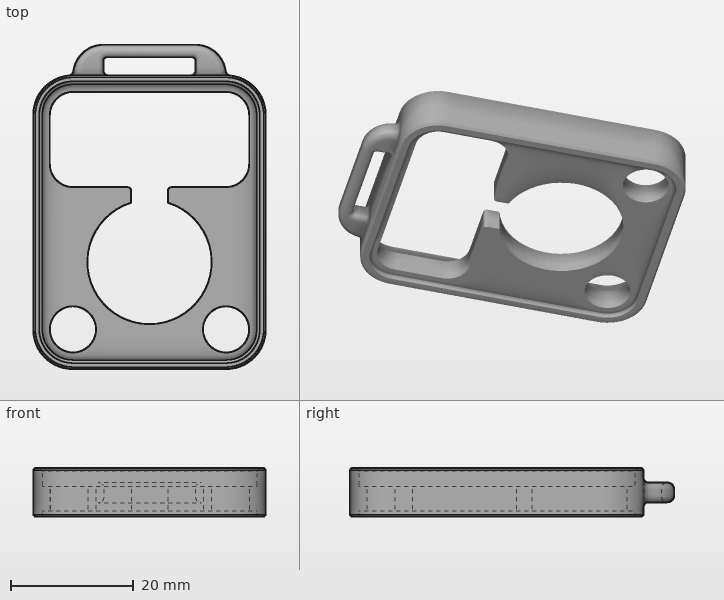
import cadquery as cq

BODY_WIDTH = 38.0
BODY_LENGTH = 48.0
BODY_HEIGHT = 8.0
CORNER_RADIUS = 6.5
OUTER_CHAMFER = 0.35

WALL = 1.5
POCKET_DEPTH = 3.0
RIM_CHAMFER = 0.5
CHAMFER_ANGLE = 45.0

RECESS_DEPTH = 1.0

OPENING_MARGIN = 2.75
WINDOW_LENGTH = 15.5
WINDOW_RADIUS = CORNER_RADIUS - OPENING_MARGIN
DIAL_DIAMETER = 20.25
DIAL_CENTER_TO_FRONT = 17.5
SLOT_WIDTH = 6.0
SLOT_CORNER_RADIUS = 0.6
BUTTON_DIAMETER = 7.5

LOOP_WIDTH = 25.0
LOOP_REACH = 5.0
LOOP_HEIGHT = 3.3
LOOP_OUTER_RADIUS = 5.0
LOOP_BAR = 2.1
LOOP_LEG_WIDTH = 5.0
LOOP_INNER_RADIUS = 0.5
LOOP_OUTER_ROUND = 1.2
LOOP_INNER_ROUND = 0.85
LOOP_ROOT_FILLET = 0.7
LOOP_EMBED = WALL / 2

BACK_Y = BODY_LENGTH / 2
FRONT_Y = -BODY_LENGTH / 2
FLOOR_Z = BODY_HEIGHT - POCKET_DEPTH
WINDOW_BACK_Y = BACK_Y - OPENING_MARGIN
WINDOW_FRONT_Y = WINDOW_BACK_Y - WINDOW_LENGTH

LOOP_BOTTOM_Z = (BODY_HEIGHT - LOOP_HEIGHT) / 2
LOOP_TOP_Z = LOOP_BOTTOM_Z + LOOP_HEIGHT
LOOP_ROOT_Y = BACK_Y - LOOP_EMBED
LOOP_END_Y = BACK_Y + LOOP_REACH
LOOP_BAR_Y = LOOP_END_Y - LOOP_BAR

PICK_MARGIN = 0.1


def rounded_block(width, length, height, radius):
    """Upright block with rounded vertical edges, standing on Z = 0."""
    block = cq.Workplane("XY").rect(width, length).extrude(height)
    return block.edges("|Z").fillet(radius)


def make_body():
    """Solid outer case with its top and bottom outlines chamfered."""
    body = rounded_block(BODY_WIDTH, BODY_LENGTH, BODY_HEIGHT, CORNER_RADIUS)
    return body.faces("<Z or >Z").edges().chamfer(OUTER_CHAMFER)


def inner_block(height):
    """Block filling the space between the walls, standing on Z = 0."""
    return rounded_block(
        BODY_WIDTH - 2 * WALL, BODY_LENGTH - 2 * WALL, height, CORNER_RADIUS - WALL
    )


def make_pocket():
    """Volume removed above the floor, flaring out at the rim."""
    straight = inner_block(POCKET_DEPTH).translate((0, 0, FLOOR_Z))
    flare = (
        inner_block(BODY_HEIGHT - RIM_CHAMFER)
        .faces(">Z")
        .wires()
        .toPending()
        .workplane()
        .extrude(RIM_CHAMFER, taper=-CHAMFER_ANGLE, combine=False)
    )
    return straight.union(flare)


def make_window_and_dial():
    """Window joined to the round dial opening by a short slot."""
    dial_y = FRONT_Y + DIAL_CENTER_TO_FRONT
    window = rounded_block(
        BODY_WIDTH - 2 * OPENING_MARGIN, WINDOW_LENGTH, BODY_HEIGHT, WINDOW_RADIUS
    ).translate((0, WINDOW_FRONT_Y + WINDOW_LENGTH / 2, 0))
    slot = (
        cq.Workplane("XY")
        .center(0, (WINDOW_FRONT_Y + dial_y) / 2)
        .rect(SLOT_WIDTH, WINDOW_FRONT_Y - dial_y)
        .extrude(BODY_HEIGHT)
    )
    dial = cq.Workplane("XY").center(0, dial_y).circle(DIAL_DIAMETER / 2).extrude(BODY_HEIGHT)
    slot_mouth = cq.selectors.BoxSelector(
        (-SLOT_WIDTH, WINDOW_FRONT_Y - PICK_MARGIN, 0),
        (SLOT_WIDTH, WINDOW_FRONT_Y + PICK_MARGIN, BODY_HEIGHT),
    )
    opening = window.union(slot).union(dial)
    return opening.edges("|Z").edges(slot_mouth).fillet(SLOT_CORNER_RADIUS)


def make_button_holes():
    """Two round holes near the front corners."""
    offset = OPENING_MARGIN + BUTTON_DIAMETER / 2
    x = BODY_WIDTH / 2 - offset
    y = FRONT_Y + offset
    return (
        cq.Workplane("XY")
        .pushPoints([(-x, y), (x, y)])
        .circle(BUTTON_DIAMETER / 2)
        .extrude(BODY_HEIGHT)
    )


def make_loop():
    """Strap loop with rounded edges, its legs sunk into the back wall."""
    loop_length = LOOP_END_Y - LOOP_ROOT_Y
    outer = (
        cq.Workplane("XY", origin=(0, LOOP_ROOT_Y + loop_length / 2, LOOP_BOTTOM_Z))
        .rect(LOOP_WIDTH, loop_length)
        .extrude(LOOP_HEIGHT)
        .edges("|Z and >Y")
        .fillet(LOOP_OUTER_RADIUS)
        .faces(">Y")
        .edges("|X")
        .fillet(LOOP_OUTER_ROUND)
    )
    opening_length = LOOP_BAR_Y - LOOP_ROOT_Y
    opening = (
        cq.Workplane("XY", origin=(0, LOOP_ROOT_Y + opening_length / 2, LOOP_BOTTOM_Z))
        .rect(LOOP_WIDTH - 2 * LOOP_LEG_WIDTH, opening_length)
        .extrude(LOOP_HEIGHT)
        .edges("|Z and >Y")
        .fillet(LOOP_INNER_RADIUS)
    )
    bar_inner_edges = cq.selectors.BoxSelector(
        (-LOOP_LEG_WIDTH, LOOP_BAR_Y - PICK_MARGIN, LOOP_BOTTOM_Z - PICK_MARGIN),
        (LOOP_LEG_WIDTH, LOOP_BAR_Y + PICK_MARGIN, LOOP_TOP_Z + PICK_MARGIN),
    )
    return outer.cut(opening).edges("|X").edges(bar_inner_edges).fillet(LOOP_INNER_ROUND)


def fillet_loop_root(case):
    """Blend the loop legs into the back wall."""
    root_edges = cq.selectors.BoxSelector(
        (-LOOP_WIDTH, BACK_Y - PICK_MARGIN, LOOP_BOTTOM_Z - PICK_MARGIN),
        (LOOP_WIDTH, BACK_Y + PICK_MARGIN, LOOP_TOP_Z + PICK_MARGIN),
    )
    return case.edges(root_edges).fillet(LOOP_ROOT_FILLET)


case = fillet_loop_root(make_body().union(make_loop()))
bottom_recess = inner_block(RECESS_DEPTH)
result = (
    case.cut(make_pocket())
    .cut(bottom_recess)
    .cut(make_window_and_dial())
    .cut(make_button_holes())
)